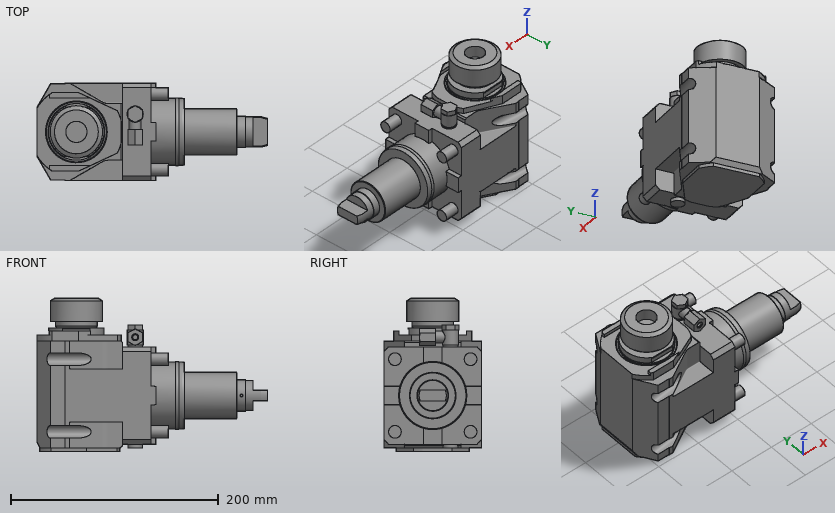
import cadquery as cq
import math


width = 94.0
half_width = width / 2
front_x = -38.0
block_end_x = 44.6
block_top = 52.5
block_bottom = -50.5
nose_width = 47.3
nose_half_width = nose_width / 2
nose_angle = 60
bottom_bevel_x = 2.7
bottom_bevel_z = 5.3
rear_top_bevel = 1.5
rear_bottom_bevel = 2.2
side_relief = 0.5
side_relief_end_x = -10.9

overcut = 11

band_half_height = 25.3
pocket_wall_y = 27.3
pocket_corner_x = 27.5
pocket_angle = 30
pocket_blend_radius = 11.0
pocket_floor_fillet = 0.9

screw_diameter = 12.2
screw_radius = screw_diameter / 2
screw_spacing_z = 70.0
screw_z = screw_spacing_z / 2
groove_start_x = -44.5
groove_start_y = 48.6
groove_end_x = 26.6
groove_end_y = 39.5

cover_radius = 44.5
cover_half_width = 37.7
cover_end_x = 43.3
cover_corner_x = 2.2
cover_angle = 25
cover_top = 58.4
rail_top = 62.2
rail_inner_y = 32.5
rail_start_x = -25.8

base_radius = 43.0
base_half_width = 35.3
base_end_x = 42.0
base_corner_x = 9.8
base_angle = 30
base_bottom = -54.0

collar_radius = 26.6
collar_foot_radius = 27.3
collar_foot_top = 58.2
collar_top = 65.0
collar_flat_y = 23.0
collar_lip_y = 23.8
collar_lip_height = 1.0
seal_groove_radius = 29.7
seal_groove_depth = 1.8
seal_groove_bevel = 0.9
neck_radius = 20.2
neck_foot_radius = 19.0
neck_taper_top = 66.8
nut_diameter = 50.5
nut_radius = nut_diameter / 2
nut_face_radius = 21.0
nut_bottom = 71.0
nut_top = 93.7
nut_bevel_height = 2.5
nut_bore_radius = 10.2
nut_bore_depth = 12.9

flange_end_x = 72.0
flange_bevel = 4.5
key_width = 18.0
key_end_x = 76.5
key_bevel_length = 2.0
key_bevel = 0.2
key_inner = 31.0
screw_y = 36.5
screw_end_x = 88.5

pilot_radius = 32.5
pilot_end_x = 104.0
pilot_bevel_length = 2.0
pilot_bevel = 0.5
ring_start_x = 95.2
ring_end_x = 98.5
ring_radius = 32.9
shaft_radius = 22.5
shaft_end_x = 154.7
shaft_bevel = 0.7
journal_diameter = 30.5
journal_radius = journal_diameter / 2
journal_end_x = 162.7
tang_radius = 14.7
tang_shoulder_x = 170.3
tang_taper_x = 178.0
tang_end_radius = 13.0
tang_end_x = 184.0
tang_half_thickness = 5.0
pin_x = 159.0
pin_radius = 1.3
pin_depth = 2.2

fitting_x = 56.5
fitting_y = 17.0
hex_flats = 14.2
head_top = 68.0
ring_top = 63.0
ring_bottom = 48.8
banjo_radius = 7.8
washer_radius = 7.0
nozzle_z = 56.2
nozzle_stem_radius = 5.8
nozzle_hex_y = 2.5
nozzle_tip_y = -12.7
nozzle_bore_radius = 2.5
nozzle_countersink = 0.9
plug_bottom = -50.6


def box(x0, x1, y0, y1, z0, z1):
    """Box given by its limits along each axis."""
    return cq.Workplane("XY").box(x1 - x0, y1 - y0, z1 - z0, centered=False).translate((x0, y0, z0))


def disc(radius, z0, z1, x=0, y=0):
    """Upright cylinder between two heights."""
    return cq.Workplane("XY", origin=(x, y, z0)).circle(radius).extrude(z1 - z0)


def hexagon(plane, origin, length):
    """Hexagonal prism with two flats facing along X."""
    corner_diameter = hex_flats / math.cos(math.pi / 6)
    prism = cq.Workplane("XY").polygon(6, corner_diameter).extrude(length)
    prism = prism.rotate((0, 0, 0), (0, 0, 1), 30)
    if plane == "XZ":
        prism = prism.rotate((0, 0, 0), (1, 0, 0), 90)
    return prism.translate(origin)


def both_sides(body):
    """The body together with its mirror image across the XZ plane."""
    return body.union(body.mirror("XZ"))


def make_block():
    nose_x = front_x + (half_width - nose_half_width) / math.tan(math.radians(nose_angle))
    side = [
        (front_x, block_top),
        (block_end_x - rear_top_bevel, block_top),
        (block_end_x, block_top - rear_top_bevel),
        (block_end_x, block_bottom + rear_bottom_bevel),
        (block_end_x - rear_bottom_bevel, block_bottom),
        (front_x + bottom_bevel_x, block_bottom),
        (front_x, block_bottom + bottom_bevel_z),
    ]
    block = cq.Workplane("XZ").polyline(side).close().extrude(half_width, both=True)
    plan = [
        (front_x, nose_half_width),
        (nose_x, half_width),
        (block_end_x, half_width),
        (block_end_x, -half_width),
        (nose_x, -half_width),
        (front_x, -nose_half_width),
    ]
    height = block_top - block_bottom
    block = block.intersect(
        cq.Workplane("XY", origin=(0, 0, block_bottom)).polyline(plan).close().extrude(height)
    )
    relief = box(front_x, side_relief_end_x, half_width - side_relief, half_width + overcut,
                 block_bottom, block_top)
    return block.cut(both_sides(relief))


def make_pockets():
    """Cutters for the four corner pockets, rounded where wall and floor meet."""
    outer_y = half_width + overcut
    start_x = pocket_corner_x - (outer_y - pocket_wall_y) / math.tan(math.radians(pocket_angle))
    plan = [
        (start_x, outer_y),
        (pocket_corner_x, pocket_wall_y),
        (block_end_x + overcut, pocket_wall_y),
        (block_end_x + overcut, outer_y),
    ]
    depth = block_top - band_half_height + overcut
    pocket = cq.Workplane("XY", origin=(0, 0, band_half_height)).polyline(plan).close().extrude(depth)
    wall_corner = cq.selectors.NearestToPointSelector(
        (pocket_corner_x, pocket_wall_y, band_half_height + depth / 2)
    )
    pocket = pocket.edges(wall_corner).fillet(pocket_blend_radius)
    wall_foot = cq.selectors.BoxSelector(
        (start_x, 0, 0),
        (block_end_x + overcut, outer_y - overcut / 2, band_half_height + overcut),
    )
    pocket = pocket.faces("<Z").edges(wall_foot).fillet(pocket_floor_fillet)
    pocket = pocket.intersect(box(start_x, block_end_x, 0, outer_y, 0, block_top + overcut))
    pockets = both_sides(pocket)
    return pockets.union(pockets.mirror("XY"))


def make_grooves():
    """Slanting U-shaped grooves that give access to the flange screws."""
    run_x = groove_end_x - groove_start_x
    run_y = groove_end_y - groove_start_y
    opening = [
        (groove_start_x, groove_start_y),
        (groove_end_x, groove_end_y),
        (groove_end_x, groove_start_y),
    ]
    grooves = cq.Workplane("XY")
    for z in (-screw_z, screw_z):
        floor = cq.Solid.makeCylinder(
            screw_radius,
            math.hypot(run_x, run_y),
            cq.Vector(groove_start_x, groove_start_y, z),
            cq.Vector(run_x, run_y, 0),
        )
        groove = cq.Workplane("XY", origin=(0, 0, z)).polyline(opening).close()
        groove = groove.extrude(screw_radius, both=True).union(cq.Workplane(floor))
        grooves = grooves.union(both_sides(groove))
    return grooves


def make_cover(radius, half_y, start_x, end_x, corner_x, angle, z0, z1):
    """Round plate trimmed by flat sides, flat ends and two sloped sides."""
    slope_end_x = corner_x + half_y / math.tan(math.radians(angle))
    trim = [
        (start_x, half_y),
        (corner_x, half_y),
        (slope_end_x, 0),
        (corner_x, -half_y),
        (start_x, -half_y),
    ]
    plate = cq.Workplane("XY", origin=(0, 0, z0)).polyline(trim).close().extrude(z1 - z0)
    plate = plate.intersect(disc(radius, z0, z1))
    return plate.intersect(box(start_x, end_x, -half_y, half_y, z0, z1))


def make_top_cover():
    outline = (cover_radius, cover_half_width, front_x, cover_end_x, cover_corner_x, cover_angle)
    plate = make_cover(*outline, block_top, cover_top)
    rails = make_cover(*outline, cover_top, rail_top)
    rail_zone = box(rail_start_x, cover_end_x, rail_inner_y, cover_half_width, cover_top, rail_top)
    rails = rails.intersect(both_sides(rail_zone))
    seal_groove = disc(seal_groove_radius, cover_top - seal_groove_depth, cover_top)
    seal_groove = seal_groove.faces("<Z").chamfer(seal_groove_bevel)
    return plate.union(rails).cut(seal_groove)


def make_spindle():
    lip_bottom = collar_top - collar_lip_height
    collar_foot = cover_top - seal_groove_depth
    r = collar_radius
    foot = disc(collar_foot_radius, collar_foot, collar_foot_top)
    collar = disc(r, collar_foot_top, lip_bottom).intersect(
        box(-r, r, -collar_flat_y, collar_flat_y, collar_foot_top, lip_bottom)
    )
    lip = disc(r, lip_bottom, collar_top).intersect(
        box(-r, r, -collar_lip_y, collar_lip_y, lip_bottom, collar_top)
    )
    profile = [
        (0, collar_foot),
        (neck_foot_radius, collar_foot),
        (neck_foot_radius, collar_top),
        (neck_radius, neck_taper_top),
        (neck_radius, nut_bottom),
        (nut_radius, nut_bottom),
        (nut_radius, nut_top - nut_bevel_height),
        (nut_face_radius, nut_top),
        (0, nut_top),
    ]
    nut = cq.Workplane("XZ").polyline(profile).close().revolve(360, (0, 0, 0), (0, 1, 0))
    bore = disc(nut_bore_radius, nut_top - nut_bore_depth, nut_top)
    return foot.union(collar).union(lip).union(nut).cut(bore)


def make_flange():
    flange = box(block_end_x, flange_end_x, -half_width, half_width, -half_width, half_width)
    flange = flange.edges("|X").chamfer(flange_bevel)
    half_key = key_width / 2
    key_profile = [
        (flange_end_x, half_key),
        (key_end_x - key_bevel_length, half_key),
        (key_end_x, half_key - key_bevel),
        (key_end_x, key_bevel - half_key),
        (key_end_x - key_bevel_length, -half_key),
        (flange_end_x, -half_key),
    ]
    key = cq.Workplane("XZ", origin=(0, half_width, 0)).polyline(key_profile).close()
    key = key.extrude(half_width - key_inner)
    for turn in range(4):
        flange = flange.union(key.rotate((0, 0, 0), (1, 0, 0), 90 * turn))
    corners = [(y, z) for y in (-screw_y, screw_y) for z in (-screw_z, screw_z)]
    screws = cq.Workplane("YZ", origin=(flange_end_x, 0, 0)).pushPoints(corners)
    return flange.union(screws.circle(screw_radius).extrude(screw_end_x - flange_end_x))


def make_shank():
    shank = (
        cq.Workplane("XY")
        .moveTo(flange_end_x, 0)
        .lineTo(flange_end_x, pilot_radius)
        .lineTo(ring_start_x, pilot_radius)
        .threePointArc(((ring_start_x + ring_end_x) / 2, ring_radius), (ring_end_x, pilot_radius))
        .lineTo(pilot_end_x - pilot_bevel_length, pilot_radius)
        .lineTo(pilot_end_x, pilot_radius - pilot_bevel)
        .lineTo(pilot_end_x, shaft_radius)
        .lineTo(shaft_end_x - shaft_bevel, shaft_radius)
        .lineTo(shaft_end_x, shaft_radius - shaft_bevel)
        .lineTo(shaft_end_x, journal_radius)
        .lineTo(journal_end_x, journal_radius)
        .lineTo(journal_end_x, tang_radius)
        .lineTo(tang_taper_x, tang_radius)
        .lineTo(tang_end_x, tang_end_radius)
        .lineTo(tang_end_x, 0)
        .close()
        .revolve(360, (0, 0, 0), (1, 0, 0))
    )
    above_tang = box(tang_shoulder_x, tang_end_x, -tang_radius, tang_radius,
                     tang_half_thickness, tang_radius)
    pin_hole = cq.Workplane("XZ", origin=(pin_x, -journal_radius + pin_depth, 0))
    pin_hole = pin_hole.circle(pin_radius).extrude(pin_depth)
    return shank.cut(above_tang).cut(above_tang.mirror("XY")).cut(pin_hole)


def make_fitting():
    """Banjo fitting with a hexagonal nozzle pointing to -Y, and the plug under the flange."""
    center = (fitting_x, fitting_y)
    fitting = disc(washer_radius, half_width, ring_bottom, *center)
    fitting = fitting.union(disc(banjo_radius, ring_bottom, ring_top, *center))
    fitting = fitting.union(hexagon("XY", (*center, ring_top), head_top - ring_top))
    stem = cq.Workplane("XZ", origin=(fitting_x, fitting_y, nozzle_z))
    fitting = fitting.union(stem.circle(nozzle_stem_radius).extrude(fitting_y - nozzle_hex_y))
    nozzle_length = nozzle_hex_y - nozzle_tip_y
    nozzle_origin = (fitting_x, nozzle_hex_y, nozzle_z)
    fitting = fitting.union(hexagon("XZ", nozzle_origin, nozzle_length))
    bore = cq.Workplane("XZ", origin=nozzle_origin).circle(nozzle_bore_radius).extrude(nozzle_length)
    countersink_radius = nozzle_bore_radius + nozzle_countersink
    countersink = cq.Solid.makeCone(
        countersink_radius,
        nozzle_bore_radius,
        nozzle_countersink,
        cq.Vector(fitting_x, nozzle_tip_y, nozzle_z),
        cq.Vector(0, 1, 0),
    )
    bore = bore.union(cq.Workplane(countersink))
    plug = disc(washer_radius, plug_bottom, -half_width, *center)
    return fitting.cut(bore).union(plug)


housing = make_block().cut(make_pockets()).cut(make_grooves())
base = make_cover(base_radius, base_half_width, front_x + bottom_bevel_x, base_end_x,
                  base_corner_x, base_angle, base_bottom, block_bottom)
result = housing.union(base)
for piece in (make_top_cover(), make_spindle(), make_flange(), make_shank(), make_fitting()):
    result = result.union(piece)